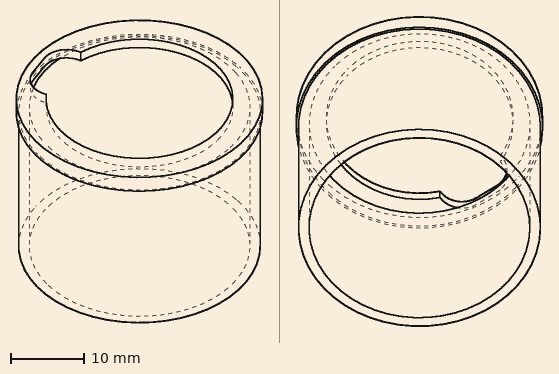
import cadquery as cq

height = 26.0
body_diameter = 33.0
bore_diameter = 30.1

collar_diameter = 33.6
collar_height = 2.45
lip_thickness = 1.48
lip_opening_diameter = 25.47

notch_reach = 15.5
notch_width = 10.15
notch_corner_radius = 3.35

lip_bottom = height - lip_thickness


def cylinder(diameter, bottom, top):
    """Vertical cylinder centred on the Z axis."""
    return cq.Workplane("XY").workplane(offset=bottom).circle(diameter / 2).extrude(top - bottom)


def lip_notch():
    """Block from the axis out to the notch floor, with rounded outer corners."""
    return (
        cq.Workplane("XY")
        .workplane(offset=lip_bottom)
        .center(-notch_reach / 2, 0)
        .rect(notch_reach, notch_width)
        .extrude(lip_thickness)
        .edges("|Z and <X")
        .fillet(notch_corner_radius)
    )


body = cylinder(body_diameter, 0, height)
collar = cylinder(collar_diameter, height - collar_height, height)
bore = cylinder(bore_diameter, 0, lip_bottom)
lip_opening = cylinder(lip_opening_diameter, lip_bottom, height)

result = body.union(collar).cut(bore).cut(lip_opening).cut(lip_notch())